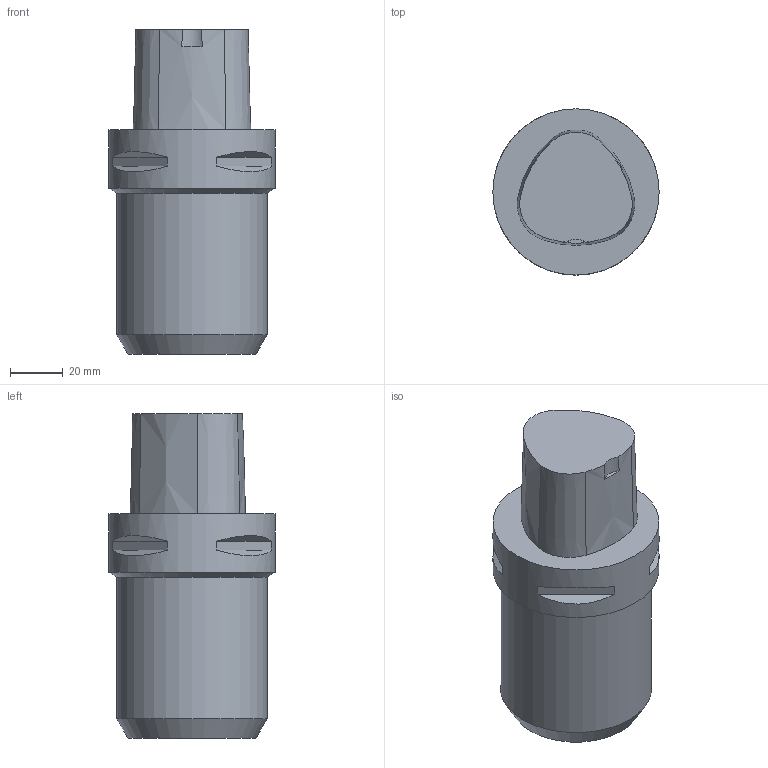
import cadquery as cq
import math

collar_radius = 63.0 / 2
collar_land = 22.0
collar_chamfer_height = 1.9
body_radius = 57.1 / 2
body_bottom = -85.0
nose_cone_height = 7.5
nose_cone_angle = 30.0
nose_radius = body_radius - nose_cone_height * math.tan(math.radians(nose_cone_angle))

shank_height = 38.0
taper_per_side = 1 / 40
lobe_reach = 23.5
flank_reach = 20.25
lobe_arc_radius = 14.3
lobe_count = 3

notch_depth = 6.5
notch_radius = 6.5
notch_center_y = -24.5

groove_count = 4
groove_start_angle = 45.0
groove_center_z = -12.0
groove_floor_distance = 27.85
groove_floor_height = 3.4
groove_wall_angle = 30.0
groove_overshoot = 2.0


def polar(radius, angle):
    """Point at a distance from the axis, with the angle in degrees."""
    return (radius * math.cos(math.radians(angle)), radius * math.sin(math.radians(angle)))


def make_body():
    """Turned collar, body and nose cone."""
    shoulder_z = -collar_land - collar_chamfer_height
    return (
        cq.Workplane("XZ")
        .moveTo(0, 0)
        .lineTo(collar_radius, 0)
        .lineTo(collar_radius, -collar_land)
        .lineTo(body_radius, shoulder_z)
        .lineTo(body_radius, body_bottom + nose_cone_height)
        .lineTo(nose_radius, body_bottom)
        .lineTo(0, body_bottom)
        .close()
        .revolve(360, (0, 0), (0, 1))
    )


def lobed_outline(plane, inset):
    """Three lobe arcs joined by tangent flank arcs, all moved inward by the inset."""
    lobe_center = lobe_reach - lobe_arc_radius
    flank_radius = (
        (lobe_arc_radius**2 - flank_reach**2 - lobe_center**2 + flank_reach * lobe_center)
        / (2 * lobe_arc_radius - 2 * flank_reach + lobe_center)
    )
    flank_center = flank_radius - flank_reach
    flank_half_angle = math.degrees(
        math.asin(lobe_center * math.sin(math.pi / lobe_count) / (flank_radius - lobe_arc_radius))
    )
    joint_x = (flank_radius - inset) * math.cos(math.radians(flank_half_angle)) - flank_center
    joint_y = (flank_radius - inset) * math.sin(math.radians(flank_half_angle))
    joint_radius = math.hypot(joint_x, joint_y)
    joint_angle = math.degrees(math.atan2(joint_y, joint_x))

    pitch = 360 / lobe_count
    first_flank = -90
    outline = plane.moveTo(*polar(joint_radius, first_flank - joint_angle))
    for index in range(lobe_count):
        flank = first_flank + index * pitch
        lobe = flank + pitch / 2
        next_flank = flank + pitch
        outline = outline.threePointArc(
            polar(flank_reach - inset, flank), polar(joint_radius, flank + joint_angle)
        )
        outline = outline.threePointArc(
            polar(lobe_reach - inset, lobe), polar(joint_radius, next_flank - joint_angle)
        )
    return outline.close()


def make_shank():
    """Shank lofted from the seat face to its smaller top."""
    base = lobed_outline(cq.Workplane("XY"), 0)
    top_plane = base.workplane(offset=shank_height)
    return lobed_outline(top_plane, shank_height * taper_per_side).loft(ruled=True)


def make_notch():
    """Vertical cylinder that cuts an arc-shaped notch into the top of the flank."""
    return (
        cq.Workplane("XY", origin=(0, notch_center_y, shank_height - notch_depth))
        .circle(notch_radius)
        .extrude(notch_depth)
    )


def make_groove(angle):
    """Straight groove with a flat floor and flared walls, facing the given direction."""
    outer = collar_radius + groove_overshoot
    depth = outer - groove_floor_distance
    half_floor = groove_floor_height / 2
    half_mouth = half_floor + depth * math.tan(math.radians(groove_wall_angle))
    return (
        cq.Workplane("XZ", origin=(0, 0, groove_center_z))
        .moveTo(groove_floor_distance, -half_floor)
        .lineTo(outer, -half_mouth)
        .lineTo(outer, half_mouth)
        .lineTo(groove_floor_distance, half_floor)
        .close()
        .extrude(collar_radius, both=True)
        .rotate((0, 0, 0), (0, 0, 1), angle)
    )


result = make_body().union(make_shank()).cut(make_notch())
for groove_index in range(groove_count):
    groove_angle = groove_start_angle + groove_index * 360 / groove_count
    result = result.cut(make_groove(groove_angle))